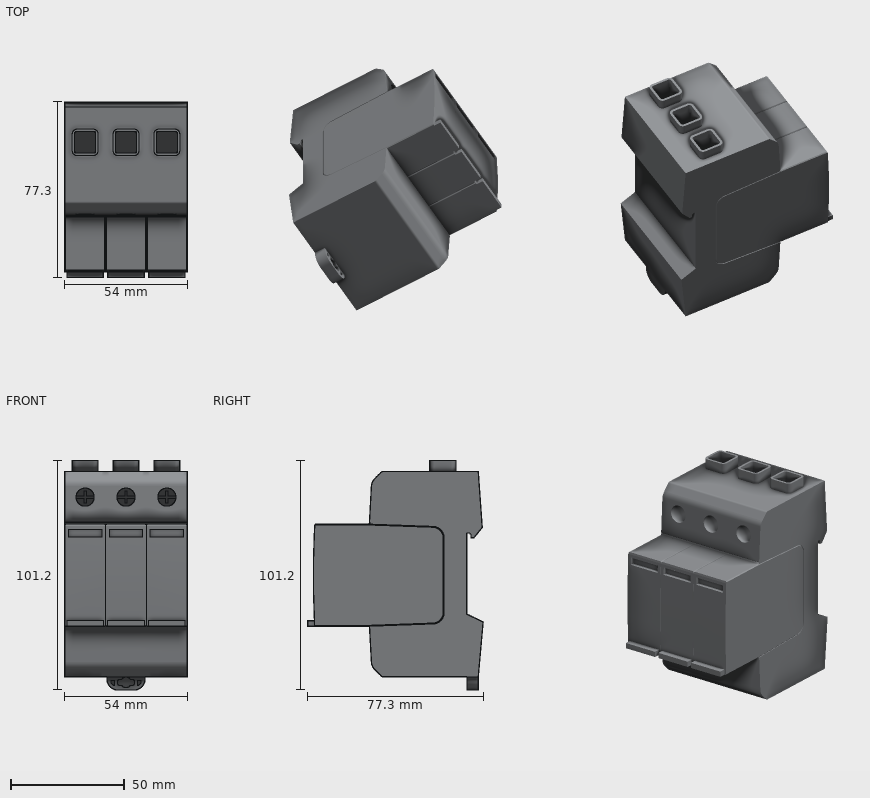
import cadquery as cq

POLE_COUNT = 3
POLE_PITCH = 18.0
WIDTH = POLE_COUNT * POLE_PITCH
POLE_CENTRES = [(i - (POLE_COUNT - 1) / 2) * POLE_PITCH for i in range(POLE_COUNT)]

BASE_HEIGHT = 90.55
BASE_END_BACK = 5.1
UPPER_HEEL_BACK = 6.85
LOWER_HEEL_BACK = 7.25
BASE_FRONT = 42.9
BASE_END_FRONT = 41.95
BEVEL = 4.65
BEVEL_END_RADIUS = 1.5
BEVEL_FRONT_RADIUS = 5.0

RAIL_TOP = 63.3
RAIL_BOTTOM = 27.7
LOWER_HEEL_Z = 24.2
UPPER_HEEL_Z = 65.8
HOOK_TIP_Z = 61.2
HOOK_TIP_FRONT_BACK = 1.8
HOOK_TIP_REAR_BACK = 3.1
HOOK_ROOT_BACK = 1.2
HOOK_ROOT_DROP = 0.6

MODULE_BOTTOM = 22.3
MODULE_TOP = 67.3
MODULE_REAR = 10.0
MODULE_FRONT = 67.0
MODULE_BULGE = 0.6
MODULE_TAPER = 1.2
MODULE_TAPER_END = 43.4
MODULE_REAR_RADIUS = 5.0
MODULE_EDGE_CHAMFER = 0.4
MODULE_BROW_DEPTH = 0.3
MODULE_BROW_HEIGHT = 0.9

LIP_DEPTH = 0.4
LIP_HEIGHT = 0.6
STEP_DEPTH = 0.3
STEP_HEIGHT = 0.3

GROOVE_WIDTH = 0.1
GROOVE_DEPTH = 0.7

SLOT_WIDTH = 14.7
SLOT_HEIGHT = 3.4
SLOT_CENTRE_Z = 63.3
SLOT_DEPTH = 1.5
TAB_WIDTH = 16.1
TAB_HEIGHT = 2.5
TAB_FRONT = 70.03
TAB_ROOT = 2.0

SCREW_DIAMETER = 8.0
SCREW_Z = 79.15
SCREW_HEAD_FRONT = 30.0
DRIVE_SLOT_WIDTH = 1.0
DRIVE_CROSS_LENGTH = 5.3
DRIVE_DEPTH = 1.0

COLLAR_X = 11.35
COLLAR_Y = 11.65
COLLAR_HEIGHT = 4.8
COLLAR_WALL = 1.05
COLLAR_RADIUS = 2.1
COLLAR_FRONT = 10.5
CABLE_WELL_DEPTH = 15.0

FOOT_HALF_WIDTH = 8.45
FOOT_DROP = 5.86
FOOT_CORNER_RADIUS = 5.0
FOOT_ROOT = 1.0
FOOT_POCKET_DEPTH = 2.0
FOOT_POCKET_Z = -2.4
FOOT_EYE_RADIUS = 2.35
FOOT_SLOT_LENGTH = 7.4
FOOT_SLOT_HEIGHT = 2.7
FOOT_SLOT_RADIUS = 0.9
NOTCH_INNER_X = 5.0
NOTCH_OUTER_X = 6.65
NOTCH_TOP_Z = -1.5
NOTCH_BOTTOM_Z = -3.7
NOTCH_SIDE_DROP = 1.2
NOTCH_FLAT = 0.5


def side_outline(points):
    """Closed outline in the YZ plane from (forward distance, height) pairs."""
    return cq.Workplane("YZ").polyline([(-front, z) for front, z in points]).close()


def box(x_size, z_size, x, z, back, front):
    """Block centred on x and z, reaching from back to front (forward distances)."""
    block = cq.Workplane("XY").box(x_size, front - back, z_size)
    return block.translate((x, -(back + front) / 2, z))


def make_base():
    """Base housing with the rail recess at the back and softened bevels at the front."""
    bevel_start = BASE_END_FRONT - BEVEL
    outline = [
        (0, RAIL_TOP),
        (0, RAIL_BOTTOM),
        (-LOWER_HEEL_BACK, LOWER_HEEL_Z),
        (-BASE_END_BACK, 0),
        (bevel_start, 0),
        (BASE_END_FRONT, BEVEL),
        (BASE_FRONT, MODULE_BOTTOM),
        (BASE_FRONT + LIP_DEPTH, MODULE_TOP),
        (BASE_FRONT - STEP_DEPTH, MODULE_TOP + LIP_HEIGHT),
        (BASE_FRONT, MODULE_TOP + LIP_HEIGHT + STEP_HEIGHT),
        (BASE_END_FRONT, BASE_HEIGHT - BEVEL),
        (bevel_start, BASE_HEIGHT),
        (-BASE_END_BACK, BASE_HEIGHT),
        (-UPPER_HEEL_BACK, UPPER_HEEL_Z),
        (-HOOK_TIP_REAR_BACK, HOOK_TIP_Z),
        (-HOOK_TIP_FRONT_BACK, HOOK_TIP_Z),
        (-HOOK_TIP_FRONT_BACK, RAIL_TOP - HOOK_ROOT_DROP),
        (-HOOK_ROOT_BACK, RAIL_TOP),
    ]
    base = side_outline(outline).extrude(WIDTH / 2, both=True)
    for z_end, z_front in ((0, BEVEL), (BASE_HEIGHT, BASE_HEIGHT - BEVEL)):
        end_edge = cq.selectors.NearestToPointSelector((0, -bevel_start, z_end))
        base = base.edges(end_edge).fillet(BEVEL_END_RADIUS)
        front_edge = cq.selectors.NearestToPointSelector((0, -BASE_END_FRONT, z_front))
        base = base.edges(front_edge).fillet(BEVEL_FRONT_RADIUS)
    return base


def module_body(width):
    """Module profile, tapered and rounded at the rear and bowed at the front."""
    middle = (MODULE_TOP + MODULE_BOTTOM) / 2
    profile = (
        cq.Workplane("YZ")
        .moveTo(-MODULE_REAR, MODULE_BOTTOM + MODULE_TAPER)
        .lineTo(-MODULE_TAPER_END, MODULE_BOTTOM)
        .lineTo(-MODULE_FRONT, MODULE_BOTTOM)
        .threePointArc(
            (-MODULE_FRONT - MODULE_BULGE, middle),
            (-MODULE_FRONT, MODULE_TOP - MODULE_BROW_HEIGHT),
        )
        .lineTo(-MODULE_FRONT + MODULE_BROW_DEPTH, MODULE_TOP)
        .lineTo(-MODULE_TAPER_END, MODULE_TOP)
        .lineTo(-MODULE_REAR, MODULE_TOP - MODULE_TAPER)
        .close()
    )
    body = profile.extrude(width / 2, both=True)
    return body.faces(">Y").edges("|X").fillet(MODULE_REAR_RADIUS)


def make_module():
    """One plug-in module, centred on X = 0, with its label slot and pull tab."""
    body = module_body(POLE_PITCH)
    rim_front = MODULE_FRONT - 2 * MODULE_BROW_DEPTH
    rim_zone = cq.selectors.BoxSelector((-WIDTH, -rim_front, 0), (WIDTH, 0, BASE_HEIGHT))
    body = body.faces("<X or >X").edges(rim_zone).chamfer(MODULE_EDGE_CHAMFER)
    slot = box(SLOT_WIDTH, SLOT_HEIGHT, 0, SLOT_CENTRE_Z, MODULE_FRONT - SLOT_DEPTH, TAB_FRONT)
    tab_z = MODULE_BOTTOM + TAB_HEIGHT / 2
    tab = box(TAB_WIDTH, TAB_HEIGHT, 0, tab_z, MODULE_FRONT - TAB_ROOT, TAB_FRONT)
    return body.cut(slot).union(tab)


def parting_groove(x):
    """Narrow groove down the module fronts where two modules meet."""
    height = MODULE_TOP - MODULE_BOTTOM
    middle = (MODULE_TOP + MODULE_BOTTOM) / 2
    return box(GROOVE_WIDTH, height, x, middle, MODULE_FRONT - GROOVE_DEPTH, TAB_FRONT)


def screw_recess(x):
    """Screw shaft down to the head, with the cross drive sunk into the head."""
    shaft = (
        cq.Workplane("XZ", origin=(x, -SCREW_HEAD_FRONT, SCREW_Z))
        .circle(SCREW_DIAMETER / 2)
        .extrude(BASE_FRONT - SCREW_HEAD_FRONT)
    )
    drive_floor = SCREW_HEAD_FRONT - DRIVE_DEPTH
    bar = box(SCREW_DIAMETER, DRIVE_SLOT_WIDTH, x, SCREW_Z, drive_floor, SCREW_HEAD_FRONT)
    cross = box(DRIVE_SLOT_WIDTH, DRIVE_CROSS_LENGTH, x, SCREW_Z, drive_floor, SCREW_HEAD_FRONT)
    round_head = shaft.translate((0, DRIVE_DEPTH, 0))
    return shaft.union(bar.intersect(round_head)).union(cross)


def make_collar(x):
    """Rounded-square collar standing on the base around one cable entry."""
    collar = cq.Workplane("XY", origin=(x, -COLLAR_FRONT, BASE_HEIGHT))
    collar = collar.rect(COLLAR_X, COLLAR_Y).extrude(COLLAR_HEIGHT)
    return collar.edges("|Z").fillet(COLLAR_RADIUS)


def cable_entry(x):
    """Opening with rounded corners through the collar and a square-cornered well in the base."""
    size_x = COLLAR_X - 2 * COLLAR_WALL
    size_y = COLLAR_Y - 2 * COLLAR_WALL
    base_top = cq.Workplane("XY", origin=(x, -COLLAR_FRONT, BASE_HEIGHT))
    mouth = base_top.rect(size_x, size_y).extrude(COLLAR_HEIGHT)
    mouth = mouth.edges("|Z").fillet(COLLAR_RADIUS - COLLAR_WALL)
    well = base_top.rect(size_x, size_y).extrude(-CABLE_WELL_DEPTH)
    return mouth.union(well)


def make_foot():
    """Release foot with rounded lower corners, a central eye and two side notches, all blind."""
    height = FOOT_DROP + FOOT_ROOT
    foot = box(2 * FOOT_HALF_WIDTH, height, 0, FOOT_ROOT - height / 2, -BASE_END_BACK, 0)
    foot = foot.edges("|Y and <Z").fillet(FOOT_CORNER_RADIUS)
    pocket_plane = cq.Workplane("XZ", origin=(0, FOOT_POCKET_DEPTH, 0))
    eye = pocket_plane.center(0, FOOT_POCKET_Z).circle(FOOT_EYE_RADIUS).extrude(FOOT_POCKET_DEPTH)
    slot = pocket_plane.center(0, FOOT_POCKET_Z).rect(FOOT_SLOT_LENGTH, FOOT_SLOT_HEIGHT)
    slot = slot.extrude(FOOT_POCKET_DEPTH).edges("|Y").fillet(FOOT_SLOT_RADIUS)
    foot = foot.cut(eye).cut(slot)
    for side in (-1, 1):
        notch = pocket_plane.polyline([
            (side * NOTCH_INNER_X, NOTCH_TOP_Z),
            (side * NOTCH_OUTER_X, NOTCH_TOP_Z),
            (side * NOTCH_OUTER_X, NOTCH_TOP_Z - NOTCH_SIDE_DROP),
            (side * (NOTCH_INNER_X + NOTCH_FLAT), NOTCH_BOTTOM_Z),
            (side * NOTCH_INNER_X, NOTCH_BOTTOM_Z),
        ])
        foot = foot.cut(notch.close().extrude(FOOT_POCKET_DEPTH))
    return foot


result = make_base().cut(module_body(WIDTH)).union(make_foot())
module = make_module()
for pole_x in POLE_CENTRES:
    result = result.union(module.translate((pole_x, 0, 0)))
    result = result.cut(screw_recess(pole_x))
    result = result.union(make_collar(pole_x)).cut(cable_entry(pole_x))
for left_x, right_x in zip(POLE_CENTRES, POLE_CENTRES[1:]):
    result = result.cut(parting_groove((left_x + right_x) / 2))